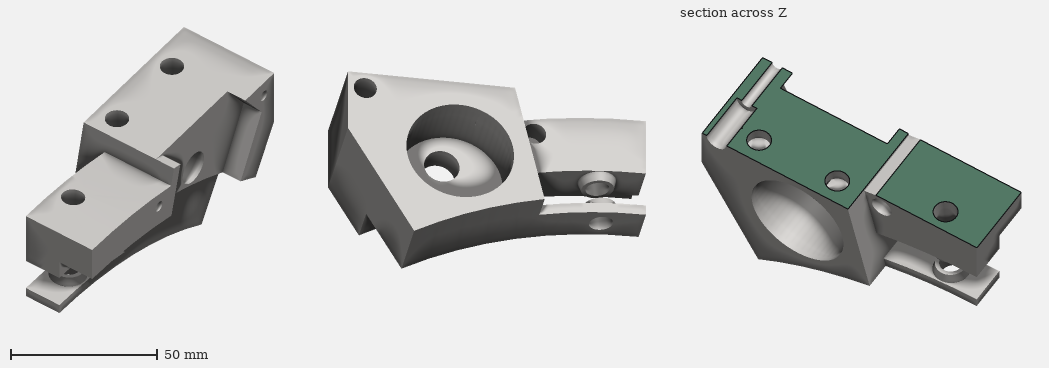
import cadquery as cq
import math

LENGTH = 105.5
WIDTH = 38.3
HEIGHT = 62.2

UNDERSIDE_RADIUS = 163.0
STRIP_TOP_RADIUS = 166.8
ARM_BOTTOM_RADIUS = 179.8
RAISED_UNDERSIDE_RADIUS = 187.3
ARM_TOP_RADIUS = 201.1
BACK_ANGLE = 30.4
FRONT_ANGLE = 13.15
AXIS_Z = -UNDERSIDE_RADIUS * math.cos(math.radians(BACK_ANGLE))

ARM_START_X = 10.1
STEP_X = 24.4
POCKET_START_X = 30.7

POCKET_NEAR_ANGLE = 14.2
POCKET_FAR_ANGLE = 27.35
POCKET_FAR_TOP_Y = 88.7
UNDERCUT_Y = 98.2
CUT_MARGIN = 5.3

BORE_DIAMETER = 37.5
BORE_DEPTH = 21.3
BORE_CENTER = (66.5, 34.4)
SHAFT_DIAMETER = 12.3
SHAFT_CENTER = (69.0, 41.3)
SCREW_DIAMETER = 4.0
SCREW_HEAD_DIAMETER = 8.0
SCREW_HEAD_DEPTH = 19.0
SCREW_CENTERS = [(99.5, 56.1), (38.7, 51.0)]
PIN_DIAMETER = 8.3
PIN_DEPTH = 10.5
PIN_X = 8.1
PIN_YS = [55.6, 87.5]

BOSS_ANGLE = 5.05
BOSS_HEIGHT = 3.1
BOSS_BASE_DIAMETER = 13.4
BOSS_END_DIAMETER = 11.3
BOSS_SINK = 0.5


def polar(radius, angle):
    """Y, Z of a point at a radius and an angle from vertical about the arc axis."""
    turn = math.radians(angle)
    return radius * math.sin(turn), AXIS_Z + radius * math.cos(turn)


def radial_at_height(angle, z):
    """Y, Z where the radial line at an angle reaches a height."""
    return (z - AXIS_Z) * math.tan(math.radians(angle)), z


def side_plane(x):
    """Plane across X whose local axes are Y and Z."""
    return cq.Workplane("YZ", origin=(x, 0, 0))


def ring_sector(inner, outer, start_angle, end_angle, start_x, end_x):
    middle = (start_angle + end_angle) / 2
    return (
        side_plane(start_x)
        .moveTo(*polar(inner, start_angle))
        .threePointArc(polar(inner, middle), polar(inner, end_angle))
        .lineTo(*polar(outer, end_angle))
        .threePointArc(polar(outer, middle), polar(outer, start_angle))
        .close()
        .extrude(end_x - start_x)
    )


def body_block():
    middle_angle = (FRONT_ANGLE + BACK_ANGLE) / 2
    back_z = AXIS_Z + LENGTH / math.tan(math.radians(BACK_ANGLE))
    block = (
        side_plane(0)
        .moveTo(*radial_at_height(FRONT_ANGLE, HEIGHT))
        .lineTo(LENGTH, HEIGHT)
        .lineTo(LENGTH, back_z)
        .lineTo(*polar(UNDERSIDE_RADIUS, BACK_ANGLE))
        .threePointArc(
            polar(UNDERSIDE_RADIUS, middle_angle),
            polar(UNDERSIDE_RADIUS, FRONT_ANGLE),
        )
        .close()
        .extrude(WIDTH)
    )
    raised = side_plane(STEP_X).center(0, AXIS_Z).circle(RAISED_UNDERSIDE_RADIUS).extrude(WIDTH)
    return block.cut(raised)


def side_pocket():
    """Pocket in the +X side, undercut at its far end, leaving a thin wall at the front."""
    far_tan = math.tan(math.radians(POCKET_FAR_ANGLE))
    undercut_z = AXIS_Z + UNDERCUT_Y / far_tan
    pocket = (
        side_plane(POCKET_START_X)
        .moveTo(*radial_at_height(POCKET_NEAR_ANGLE, HEIGHT))
        .lineTo(POCKET_FAR_TOP_Y, HEIGHT)
        .lineTo(UNDERCUT_Y, undercut_z)
        .lineTo(*polar(UNDERSIDE_RADIUS, POCKET_FAR_ANGLE))
        .lineTo(*polar(UNDERSIDE_RADIUS, POCKET_NEAR_ANGLE))
        .close()
        .extrude(WIDTH)
    )
    corner_y = radial_at_height(FRONT_ANGLE, HEIGHT)[0]
    wall_top_radius = math.hypot(corner_y, HEIGHT - AXIS_Z)
    wall_relief = ring_sector(
        wall_top_radius, wall_top_radius + CUT_MARGIN,
        FRONT_ANGLE, POCKET_NEAR_ANGLE, POCKET_START_X, WIDTH,
    )
    return pocket.union(wall_relief)


def arms():
    end_angle = FRONT_ANGLE + (POCKET_NEAR_ANGLE - FRONT_ANGLE) / 2
    thick = ring_sector(ARM_BOTTOM_RADIUS, ARM_TOP_RADIUS, 0, end_angle, ARM_START_X, STEP_X)
    thin = ring_sector(RAISED_UNDERSIDE_RADIUS, ARM_TOP_RADIUS, 0, end_angle, STEP_X, WIDTH)
    strip = ring_sector(UNDERSIDE_RADIUS, STRIP_TOP_RADIUS, 0, end_angle, ARM_START_X, STEP_X)
    return thick.union(thin).union(strip)


def boss_axis_plane(radius, outward):
    """Plane at a radius on the boss axis, facing away from or toward the arc axis."""
    y, z = polar(radius, BOSS_ANGLE)
    turn = math.radians(BOSS_ANGLE)
    sign = 1 if outward else -1
    return cq.Workplane(cq.Plane(
        origin=((ARM_START_X + STEP_X) / 2, y, z),
        xDir=(1, 0, 0),
        normal=(0, sign * math.sin(turn), sign * math.cos(turn)),
    ))


def boss(radius, outward):
    root = boss_axis_plane(radius, outward).circle(BOSS_BASE_DIAMETER / 2).extrude(-BOSS_SINK)
    cone = (
        boss_axis_plane(radius, outward)
        .circle(BOSS_BASE_DIAMETER / 2)
        .workplane(offset=BOSS_HEIGHT)
        .circle(BOSS_END_DIAMETER / 2)
        .loft()
    )
    return cone.union(root)


def boss_hole():
    start = UNDERSIDE_RADIUS - CUT_MARGIN
    depth = ARM_TOP_RADIUS + CUT_MARGIN - start
    return boss_axis_plane(start, True).circle(PIN_DIAMETER / 2).extrude(depth)


def side_hole(centers, diameter, depth):
    return side_plane(0).pushPoints(centers).circle(diameter / 2).extrude(depth)


def pin_holes():
    return (
        cq.Workplane("XY", origin=(0, 0, HEIGHT))
        .pushPoints([(PIN_X, y) for y in PIN_YS])
        .circle(PIN_DIAMETER / 2)
        .extrude(-PIN_DEPTH)
    )


result = (
    body_block()
    .cut(side_pocket())
    .union(arms())
    .union(boss(STRIP_TOP_RADIUS, True))
    .union(boss(ARM_BOTTOM_RADIUS, False))
    .cut(boss_hole())
    .cut(side_hole([BORE_CENTER], BORE_DIAMETER, BORE_DEPTH))
    .cut(side_hole([SHAFT_CENTER], SHAFT_DIAMETER, WIDTH))
    .cut(side_hole(SCREW_CENTERS, SCREW_DIAMETER, WIDTH))
    .cut(side_hole(SCREW_CENTERS, SCREW_HEAD_DIAMETER, SCREW_HEAD_DEPTH))
    .cut(pin_holes())
)